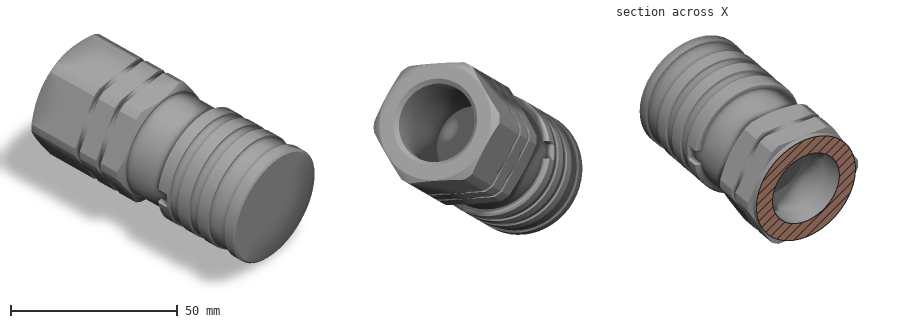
import cadquery as cq

TOTAL_LENGTH = 80.0

HEX_ACROSS_FLATS = 36.0
HEX_ACROSS_CORNERS = 40.0
HEX_ROTATION = 30.0
HEX_LENGTH = 36.2
HEX_BEVEL_LENGTH = 1.3
HEX_END_DIAMETER = 35.5
HEX_GROOVE_DIAMETER = HEX_ACROSS_FLATS
HEX_GROOVE_WIDTH = 1.8
HEX_GROOVE_STARTS = (18.5, 26.7)

NECK_DIAMETER = 34.0
SLEEVE_DIAMETER = 38.0
SLEEVE_GROOVE_DIAMETER = 36.6
SLEEVE_START = 49.7
SLEEVE_GROOVES = ((54.3, 57.8), (62.2, 65.6), (69.8, 76.2))
SLEEVE_CHAMFER_LENGTH = 0.5
SLEEVE_CHAMFER_DEPTH = 0.6

SLOT_WIDTH = 5.3
SLOT_LENGTH = 4.0
SLOT_CORNER_RADIUS = 0.6

BORE_DIAMETER = 24.0
BORE_MOUTH_DIAMETER = 26.6
BORE_DEPTH = 36.0

CLEARANCE_DIAMETER = 48.0


def revolve_about_x(profile):
    """Turn a closed profile of (x, radius) points about the X axis."""
    return cq.Workplane("XY").polyline(profile).close().revolve(360, (0, 0, 0), (1, 0, 0))


def cylinder(start, end, diameter):
    return cq.Workplane("YZ", origin=(start, 0, 0)).circle(diameter / 2).extrude(end - start)


def ring(start, end, outer_diameter, inner_diameter):
    return cylinder(start, end, outer_diameter).cut(cylinder(start, end, inner_diameter))


def make_hex_nut():
    prism = (
        cq.Workplane("YZ")
        .polygon(6, HEX_ACROSS_FLATS, circumscribed=True)
        .extrude(HEX_LENGTH)
        .rotate((0, 0, 0), (1, 0, 0), HEX_ROTATION)
    )
    end_radius = HEX_END_DIAMETER / 2
    corner_radius = HEX_ACROSS_CORNERS / 2
    bevelled_envelope = revolve_about_x([
        (0, 0),
        (0, end_radius),
        (HEX_BEVEL_LENGTH, corner_radius),
        (HEX_LENGTH - HEX_BEVEL_LENGTH, corner_radius),
        (HEX_LENGTH, end_radius),
        (HEX_LENGTH, 0),
    ])
    nut = prism.intersect(bevelled_envelope)
    for start in HEX_GROOVE_STARTS:
        nut = nut.cut(ring(start, start + HEX_GROOVE_WIDTH, CLEARANCE_DIAMETER, HEX_GROOVE_DIAMETER))
    return nut


def make_sleeve():
    rim_radius = SLEEVE_DIAMETER / 2
    chamfered_radius = rim_radius - SLEEVE_CHAMFER_DEPTH
    sleeve = revolve_about_x([
        (SLEEVE_START, 0),
        (SLEEVE_START, chamfered_radius),
        (SLEEVE_START + SLEEVE_CHAMFER_LENGTH, rim_radius),
        (TOTAL_LENGTH - SLEEVE_CHAMFER_LENGTH, rim_radius),
        (TOTAL_LENGTH, chamfered_radius),
        (TOTAL_LENGTH, 0),
    ])
    for start, end in SLEEVE_GROOVES:
        sleeve = sleeve.cut(ring(start, end, CLEARANCE_DIAMETER, SLEEVE_GROOVE_DIAMETER))
    return sleeve


def make_rim_slots():
    """One bar through both sides, hollowed so that the slots stop at the neck surface."""
    bar = (
        cq.Workplane("XY")
        .box(SLOT_LENGTH, CLEARANCE_DIAMETER, SLOT_WIDTH)
        .edges("|Y and >X")
        .fillet(SLOT_CORNER_RADIUS)
        .translate((SLEEVE_START + SLOT_LENGTH / 2, 0, 0))
    )
    return bar.cut(cylinder(SLEEVE_START, SLEEVE_START + SLOT_LENGTH, NECK_DIAMETER))


def make_bore():
    bore_radius = BORE_DIAMETER / 2
    mouth_radius = BORE_MOUTH_DIAMETER / 2
    mouth_depth = mouth_radius - bore_radius
    return revolve_about_x([
        (0, 0),
        (0, mouth_radius),
        (mouth_depth, bore_radius),
        (BORE_DEPTH, bore_radius),
        (BORE_DEPTH, 0),
    ])


neck = cylinder(0, TOTAL_LENGTH, NECK_DIAMETER)
sleeve = make_sleeve().cut(make_rim_slots())
result = neck.union(make_hex_nut()).union(sleeve).cut(make_bore())